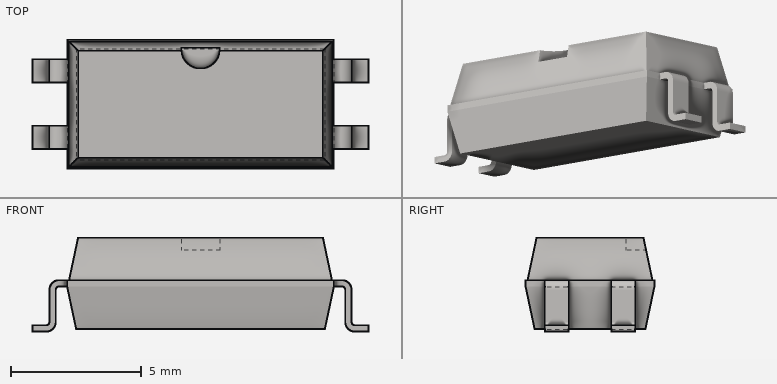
import cadquery as cq

body_length = 10.2
body_width = 4.93
overall_height = 3.6
standoff = 0.1
draft_angle = 12.0
top_ledge = 0.075

lead_span = 12.84
lead_width = 0.9
lead_thickness = 0.25
lead_pitch = 2.54
inner_bend_radius = 0.125
shank_outer_x = 5.775
lead_embed = 0.5

notch_radius = 0.73
notch_depth = 0.47
notch_center_y = 2.09

band_bottom = (overall_height + standoff - lead_thickness) / 2
band_top = band_bottom + lead_thickness
half_height = overall_height - band_top


def make_body():
    """Straight parting band with a drafted half below it and a slightly smaller drafted half above."""
    band = (
        cq.Workplane("XY", origin=(0, 0, band_bottom))
        .rect(body_length, body_width)
        .extrude(lead_thickness)
    )
    lower = (
        cq.Workplane("XY", origin=(0, 0, band_bottom))
        .rect(body_length, body_width)
        .extrude(standoff - band_bottom, taper=draft_angle)
    )
    upper = (
        cq.Workplane("XY", origin=(0, 0, band_top))
        .rect(body_length - 2 * top_ledge, body_width - 2 * top_ledge)
        .extrude(half_height, taper=draft_angle)
    )
    return band.union(lower).union(upper)


def make_notch():
    """Round cutter that breaks out through the +Y slope at the top edge."""
    return (
        cq.Workplane("XY", origin=(0, notch_center_y, overall_height - notch_depth))
        .circle(notch_radius)
        .extrude(notch_depth)
    )


def make_lead(y_center):
    """Lead on the +X side: shoulder, upper bend, shank, lower bend and foot."""
    outer_bend_radius = inner_bend_radius + lead_thickness
    shank_inner_x = shank_outer_x - lead_thickness
    shoulder_end_x = shank_outer_x - outer_bend_radius
    foot_start_x = shank_outer_x + inner_bend_radius
    root_x = body_length / 2 - lead_embed
    tip_x = lead_span / 2
    upper_bend_z = band_top - outer_bend_radius
    lower_bend_z = outer_bend_radius
    return (
        cq.Workplane("XZ", origin=(0, y_center + lead_width / 2, 0))
        .moveTo(root_x, band_top)
        .lineTo(shoulder_end_x, band_top)
        .radiusArc((shank_outer_x, upper_bend_z), outer_bend_radius)
        .lineTo(shank_outer_x, lower_bend_z)
        .radiusArc((foot_start_x, lead_thickness), -inner_bend_radius)
        .lineTo(tip_x, lead_thickness)
        .lineTo(tip_x, 0)
        .lineTo(foot_start_x, 0)
        .radiusArc((shank_inner_x, lower_bend_z), outer_bend_radius)
        .lineTo(shank_inner_x, upper_bend_z)
        .radiusArc((shoulder_end_x, band_bottom), -inner_bend_radius)
        .lineTo(root_x, band_bottom)
        .close()
        .extrude(lead_width)
    )


result = make_body().cut(make_notch())
for y_center in (-lead_pitch / 2, lead_pitch / 2):
    lead = make_lead(y_center)
    result = result.union(lead).union(lead.mirror("YZ"))